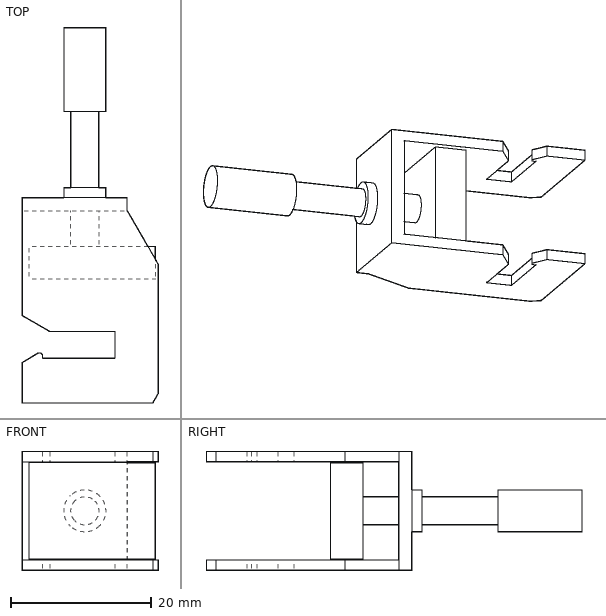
import cadquery as cq
import math

total_length = 53.65
clamp_width = 19.5
clamp_height = 17.0

body_length = 29.35
plate_thickness = 1.5
web_thickness = 1.95
web_width = 15.0
shoulder_length = 1.8
taper_angle = math.radians(30)
heel_chamfer = 0.8

slot_bottom = 6.45
slot_top = 10.2
slot_end = 13.25
mouth_top = 12.5
lip_start = 5.8
lip_width = 2.95
lip_radius = 0.5
lip_height = 0.75

block_start = 0.95
block_width = 18.1
block_length = 4.65
block_height = 13.8
block_back = 22.35

screw_x = 8.95
shaft_diameter = 4.0
collar_diameter = 6.0
collar_length = 1.45
head_diameter = 6.0
head_length = 12.0


def hook_profile():
    """Closed outline of a side plate, with a slot open to the left."""
    taper_length = (clamp_width - web_width) / math.tan(taper_angle)
    heel_length = heel_chamfer / math.tan(taper_angle)
    mouth_depth = (mouth_top - slot_top) / math.tan(taper_angle)

    crest_x = lip_width - lip_radius
    crest_y = slot_bottom + lip_height - lip_radius
    tangent_x = crest_x - lip_radius * math.sin(taper_angle)
    tangent_y = crest_y + lip_radius * math.cos(taper_angle)

    return (
        cq.Workplane("XY")
        .moveTo(0, 0)
        .lineTo(clamp_width - heel_chamfer, 0)
        .lineTo(clamp_width, heel_length)
        .lineTo(clamp_width, body_length - shoulder_length - taper_length)
        .lineTo(web_width, body_length - shoulder_length)
        .lineTo(web_width, body_length)
        .lineTo(0, body_length)
        .lineTo(0, mouth_top)
        .lineTo(mouth_depth, slot_top)
        .lineTo(slot_end, slot_top)
        .lineTo(slot_end, slot_bottom)
        .lineTo(lip_width, slot_bottom)
        .lineTo(lip_width, crest_y)
        .threePointArc((crest_x, crest_y + lip_radius), (tangent_x, tangent_y))
        .lineTo(0, lip_start)
        .close()
    )


def clamp_body():
    """Extruded hook outline, hollowed to leave the plates and the web."""
    gap = cq.Workplane("XY").box(
        clamp_width,
        body_length - web_thickness,
        clamp_height - 2 * plate_thickness,
        centered=(False, False, True),
    )
    return hook_profile().extrude(clamp_height / 2, both=True).cut(gap)


def pressure_block():
    """Block carried on the screw tip, with a small clearance to each plate."""
    return (
        cq.Workplane("XY")
        .box(block_width, block_length, block_height, centered=(False, False, True))
        .translate((block_start, block_back - block_length, 0))
    )


def screw_section(diameter, start, end):
    """Cylinder on the screw axis between two positions along Y."""
    return (
        cq.Workplane("XZ", origin=(screw_x, start, 0))
        .circle(diameter / 2)
        .extrude(start - end)
    )


shaft = screw_section(shaft_diameter, block_back - block_length / 2, total_length)
collar = screw_section(collar_diameter, body_length, body_length + collar_length)
head = screw_section(head_diameter, total_length - head_length, total_length)

result = clamp_body().union(shaft).union(pressure_block()).union(collar).union(head)